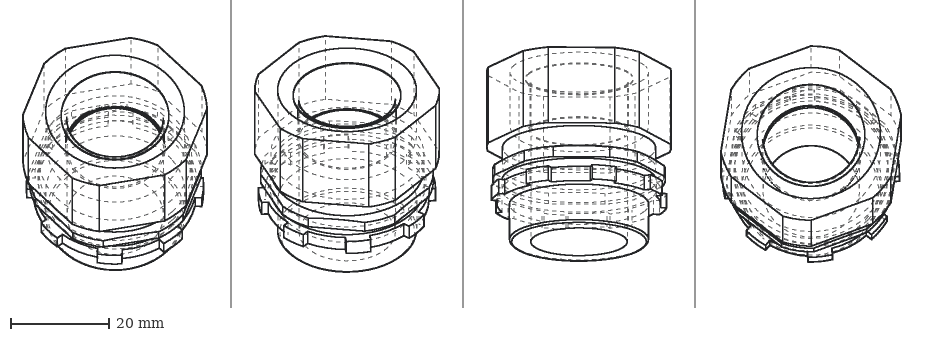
import cadquery as cq
import math

total_height = 36.0
ring_bottom = 7.98
ring_top = 11.0
flange_bottom = 13.05
flange_top = 15.75
nut_bottom = 19.97

thread_radius = 14.13
thread_chamfer = 0.45
lower_collar_radius = 15.65
upper_collar_radius = 15.55
nut_radius = 18.75
nut_across_flats = 34.95
flange_radius = 17.55
flange_across_flats = 33.12
flange_bevel_height = 0.5

ring_radius = 16.65
lug_radius = 18.0
lug_width = 5.02
lug_count = 8

bore_radius = 9.78
tube_wall = 0.2
lip_radius = 10.95
lip_top = 34.65
undercut_bottom = 23.53
undercut_top = 25.03
undercut_depth = 0.37
mouth_radius = 14.1
mouth_arc_start = 24.88
tube_outer_radius = bore_radius + tube_wall
lip_inner_arc = lip_radius - bore_radius
lip_outer_arc = lip_inner_arc - tube_wall
lip_arc_height = lip_top - lip_inner_arc
mouth_arc_radius = (mouth_radius - tube_outer_radius) / 2
diagonal = math.sqrt(0.5)


def cylinder(radius, bottom, top):
    return cq.Workplane("XY").workplane(offset=bottom).circle(radius).extrude(top - bottom)


def hexagon(across_flats, bottom, top):
    """Hexagonal prism with two flats facing +Y and -Y."""
    across_corners = across_flats / math.cos(math.pi / 6)
    return cq.Workplane("XY").workplane(offset=bottom).polygon(6, across_corners).extrude(top - bottom)


def make_nut():
    blank = cylinder(nut_radius, nut_bottom, total_height)
    return blank.intersect(hexagon(nut_across_flats, nut_bottom, total_height))


def make_flange():
    blank = (
        cq.Workplane("XZ")
        .moveTo(0, flange_bottom)
        .lineTo(flange_radius, flange_bottom)
        .lineTo(flange_radius, flange_top - flange_bevel_height)
        .lineTo(upper_collar_radius, flange_top)
        .lineTo(0, flange_top)
        .close()
        .revolve(360, (0, 0, 0), (0, 1, 0))
    )
    return blank.intersect(hexagon(flange_across_flats, flange_bottom, flange_top))


def make_locking_ring():
    ring = cylinder(ring_radius, ring_bottom, ring_top)
    bar = (
        cq.Workplane("XY")
        .workplane(offset=ring_bottom)
        .rect(2 * nut_radius, lug_width)
        .extrude(ring_top - ring_bottom)
        .intersect(cylinder(lug_radius, ring_bottom, ring_top))
    )
    for index in range(lug_count // 2):
        ring = ring.union(bar.rotate((0, 0, 0), (0, 0, 1), index * 360 / lug_count))
    return ring


def make_cavity():
    """Bore with a tapered undercut, and the round-bottomed mouth around a thin tube with a flared lip."""
    profile = (
        cq.Workplane("XZ")
        .lineTo(bore_radius, 0)
        .lineTo(bore_radius, undercut_bottom)
        .lineTo(bore_radius + undercut_depth, undercut_bottom)
        .lineTo(bore_radius, undercut_top)
        .lineTo(bore_radius, lip_arc_height)
        .threePointArc(
            (lip_radius - lip_inner_arc * diagonal, lip_arc_height + lip_inner_arc * diagonal),
            (lip_radius, lip_top),
        )
        .lineTo(lip_radius, lip_top - tube_wall)
        .threePointArc(
            (lip_radius - lip_outer_arc * diagonal, lip_arc_height + lip_outer_arc * diagonal),
            (tube_outer_radius, lip_arc_height),
        )
        .lineTo(tube_outer_radius, mouth_arc_start)
        .threePointArc(
            (tube_outer_radius + mouth_arc_radius, mouth_arc_start - mouth_arc_radius),
            (mouth_radius, mouth_arc_start),
        )
        .lineTo(mouth_radius, total_height)
        .lineTo(0, total_height)
        .close()
    )
    return profile.revolve(360, (0, 0, 0), (0, 1, 0))


thread = cylinder(thread_radius, 0, ring_bottom).faces("<Z").chamfer(thread_chamfer)
result = (
    thread.union(make_locking_ring())
    .union(cylinder(lower_collar_radius, ring_top, flange_bottom))
    .union(make_flange())
    .union(cylinder(upper_collar_radius, flange_top, nut_bottom))
    .union(make_nut())
    .cut(make_cavity())
)